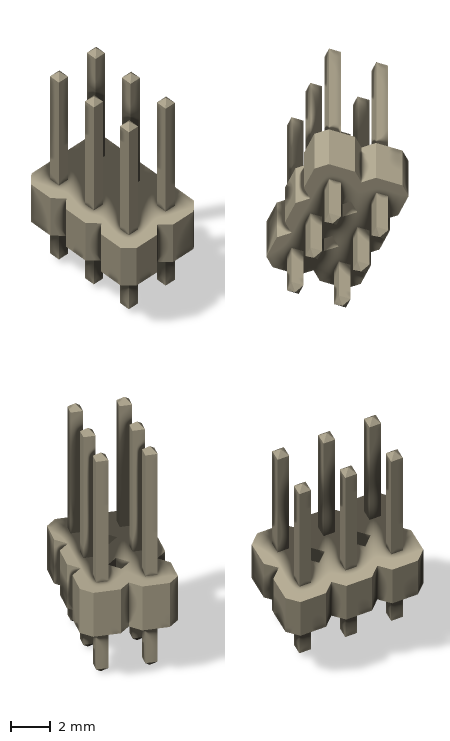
import cadquery as cq

pitch = 2.54
columns = 3
rows = 2

body_height = pitch
corner_cut = 0.56

pin_width = 0.64
pin_length = 12.64
pin_below_body = 2.8
tip_height = pin_width / 2

pin_bottom = -pin_below_body
pin_top = pin_bottom + pin_length


def make_cell():
    """Octagonal insulator block standing on Z = 0."""
    block = cq.Workplane("XY").box(pitch, pitch, body_height, centered=(True, True, False))
    return block.edges("|Z").chamfer(corner_cut)


def make_pin():
    """Square pin whose side profile is pointed at both ends."""
    half = pin_width / 2
    profile = [
        (0, pin_bottom),
        (half, pin_bottom + tip_height),
        (half, pin_top - tip_height),
        (0, pin_top),
        (-half, pin_top - tip_height),
        (-half, pin_bottom + tip_height),
    ]
    across_x = cq.Workplane("XZ").polyline(profile).close().extrude(half, both=True)
    across_y = cq.Workplane("YZ").polyline(profile).close().extrude(half, both=True)
    return across_x.intersect(across_y)


cell_with_pin = make_cell().union(make_pin())
result = cq.Workplane("XY")
for column in range(columns):
    for row in range(rows):
        x = (column - (columns - 1) / 2) * pitch
        y = (row - (rows - 1) / 2) * pitch
        result = result.union(cell_with_pin.translate((x, y, 0)), clean=False)